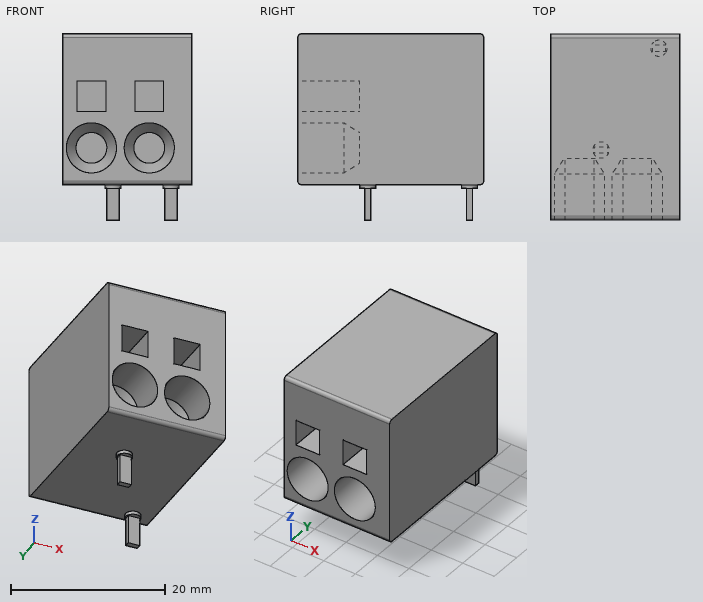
import cadquery as cq

HOUSING_WIDTH = 16.8
HOUSING_DEPTH = 24.15
TOTAL_HEIGHT = 24.2
BELOW_HOUSING = 4.6
HOUSING_HEIGHT = TOTAL_HEIGHT - BELOW_HOUSING
EDGE_RADIUS = 0.5

POLE_COUNT = 2
POLE_PITCH = 7.5
FIRST_POLE_X = 3.75
POLE_XS = [FIRST_POLE_X + i * POLE_PITCH for i in range(POLE_COUNT)]

ENTRY_Z = 4.8
BORE_DIAMETER = 6.5
BORE_DEPTH = 6.0
FLOOR_DIAMETER = 4.0
TAPER_DEPTH = 2.0

SLOT_WIDTH = 3.75
SLOT_HEIGHT = 3.95
SLOT_Z = 11.47
SLOT_DEPTH = BORE_DEPTH + TAPER_DEPTH

PIN_OFFSET_X = 2.8
FRONT_PIN_Y = 9.1
PIN_ROW_SPACING = 13.2
PIN_YS = [FRONT_PIN_Y + i * PIN_ROW_SPACING for i in range(POLE_COUNT)]
PIN_WIDTH = 1.65
PIN_THICKNESS = 0.8
COLLAR_DIAMETER = 2.1
COLLAR_HEIGHT = 0.45


def make_block():
    """Block with its four long edges, parallel to X, rounded."""
    block = cq.Workplane("XY").box(HOUSING_WIDTH, HOUSING_DEPTH, HOUSING_HEIGHT, centered=False)
    return block.edges("|X").fillet(EDGE_RADIUS)


def make_wire_entry(x):
    """Round bore running back from the front face, with a tapered end."""
    backward = cq.Vector(0, 1, 0)
    bore_start = cq.Vector(x, 0, ENTRY_Z)
    taper_start = cq.Vector(x, BORE_DEPTH, ENTRY_Z)
    bore = cq.Solid.makeCylinder(BORE_DIAMETER / 2, BORE_DEPTH, bore_start, backward)
    taper = cq.Solid.makeCone(BORE_DIAMETER / 2, FLOOR_DIAMETER / 2, TAPER_DEPTH, taper_start, backward)
    return cq.Workplane(bore.fuse(taper))


def make_slot(x):
    """Rectangular blind opening running back from the front face."""
    slot = cq.Workplane("XY").box(SLOT_WIDTH, SLOT_DEPTH, SLOT_HEIGHT, centered=(True, False, True))
    return slot.translate((x, 0, SLOT_Z))


def make_housing():
    """Block with one wire entry and one release slot per pole."""
    housing = make_block()
    for x in POLE_XS:
        housing = housing.cut(make_wire_entry(x)).cut(make_slot(x))
    return housing


def make_pin(x, y):
    """Flat solder pin hanging from a round collar that seats on the housing underside."""
    collar = cq.Workplane("XY").circle(COLLAR_DIAMETER / 2).extrude(-COLLAR_HEIGHT)
    blade = cq.Workplane("XY").rect(PIN_WIDTH, PIN_THICKNESS).extrude(-BELOW_HOUSING)
    return collar.union(blade).translate((x, y, 0))


housing = make_housing()
pins = [make_pin(x + PIN_OFFSET_X, y) for x, y in zip(POLE_XS, PIN_YS)]

result = cq.Compound.makeCompound([housing.val(), *[pin.val() for pin in pins]])